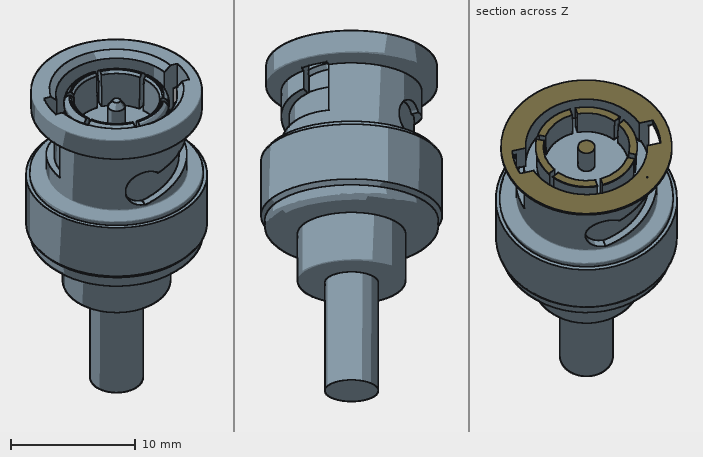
import cadquery as cq
import math

total_height = 28.75

cable_radius = 2.15
boss_radius = 4.37
boss_bottom = 9.52
boss_fillet = 0.23

collar_radius = 7.0
collar_bottom = 13.77
collar_chamfer = 0.52
collar_chamfer_fillet = 0.45
collar_top = 20.7
collar_top_fillet = 0.17

grip_radius = 7.3
grip_bottom = 15.05
grip_chamfer_height = 0.37
grip_top = 20.25

neck_radius = 5.65
neck_flare = 0.17

rim_radius = 6.9
rim_underside_inner = 26.35
rim_underside_outer = 26.75
rim_top_fillet = 0.2
rim_bottom_fillet = 0.25

bore_radius = 4.9
bore_floor = 24.67
bore_chamfer = 0.52

key_width = 2.35
keyway_radius = 5.98
ramp_floor_radius = 5.03
ramp_angle = 13.8
lock_hole_radius = 1.6
lock_hole_height = 22.63
ramp_axis_height = 22.2

collet_inner_radius = 3.4
collet_mouth_radius = 3.48
collet_outer_radius = 4.0
collet_bulge_radius = 4.23
collet_bulge_height = 27.17
collet_bulge_taper = 0.43
collet_land_outer = 3.82
collet_land_inner = 3.68
collet_top = 27.97
collet_chamfer_height = 0.23
collet_slits = 6
collet_slit_width = 0.4

pin_radius = 0.7
pin_tip_radius = 0.32
pin_top = 27.6
pin_shoulder = 27.02

tolerance = 0.003


def turned(points):
    """Solid of revolution about Z from a closed outline of (radius, height) points."""
    return cq.Workplane("XZ").polyline(points).close().revolve(360, (0, 0), (0, 1))


def round_edge(solid, radius, height, fillet):
    """Fillet the circular edge lying at the given radius and height."""

    def is_wanted(edge):
        if edge.geomType() != "CIRCLE":
            return False
        return abs(edge.radius() - radius) < tolerance and abs(edge.Center().z - height) < tolerance

    return solid.edges().filter(is_wanted).fillet(fillet)


def outer_body():
    """Cable, boss, grip, neck and rim turned as one solid."""
    body = turned([
        (0, 0),
        (cable_radius, 0),
        (cable_radius, boss_bottom),
        (boss_radius, boss_bottom),
        (boss_radius, collar_bottom),
        (collar_radius - collar_chamfer, collar_bottom),
        (collar_radius, collar_bottom + collar_chamfer),
        (collar_radius, grip_bottom),
        (grip_radius, grip_bottom + grip_chamfer_height),
        (grip_radius, grip_top),
        (collar_radius, grip_top),
        (collar_radius, collar_top),
        (neck_radius, collar_top),
        (neck_radius, rim_underside_inner),
        (rim_radius, rim_underside_outer),
        (rim_radius, total_height),
        (0, total_height),
    ])
    body = round_edge(body, boss_radius, boss_bottom, boss_fillet)
    body = round_edge(body, collar_radius, collar_bottom + collar_chamfer, collar_chamfer_fillet)
    body = round_edge(body, collar_radius - collar_chamfer, collar_bottom, collar_chamfer_fillet)
    body = round_edge(body, collar_radius, collar_top, collar_top_fillet)
    body = round_edge(body, neck_radius, collar_top, neck_flare)
    body = round_edge(body, rim_radius, rim_underside_outer, rim_bottom_fillet)
    return round_edge(body, rim_radius, total_height, rim_top_fillet)


def bore():
    """Open mouth of the connector with a chamfered lip."""
    return turned([
        (0, bore_floor),
        (bore_radius, bore_floor),
        (bore_radius, total_height - bore_chamfer),
        (bore_radius + bore_chamfer, total_height),
        (0, total_height),
    ])


def ring(outer, inner, bottom, top):
    """Tube about Z between two heights."""
    return cq.Workplane("XY").workplane(offset=bottom).circle(outer).circle(inner).extrude(top - bottom)


def bayonet_cut():
    """Keyway on the -Y side, its ramp towards -X and the lock hole that ends the ramp."""
    slope = math.tan(math.radians(ramp_angle))
    half_ramp_height = key_width / 2 / math.cos(math.radians(ramp_angle))
    reach = rim_radius
    axis_height_at_reach = ramp_axis_height + slope * reach

    lower_inner = (0, ramp_axis_height - half_ramp_height)
    lower_outer = (-reach, axis_height_at_reach - half_ramp_height)
    upper_outer = (-reach, axis_height_at_reach + half_ramp_height)
    upper_inner = (0, ramp_axis_height + half_ramp_height)

    ramp = (
        cq.Workplane("YZ")
        .workplane(offset=-reach)
        .polyline([lower_inner, lower_outer, upper_outer, upper_inner])
        .close()
        .extrude(reach + key_width / 2)
    )
    lock_hole = (
        cq.Workplane("YZ")
        .workplane(offset=-reach)
        .center(0, lock_hole_height)
        .circle(lock_hole_radius)
        .extrude(reach)
    )
    keyway = (
        cq.Workplane("YZ")
        .workplane(offset=-key_width / 2)
        .polyline([lower_inner, lower_outer, (-reach, total_height), (0, total_height)])
        .close()
        .extrude(key_width)
    )
    beside_liner = ring(keyway_radius, ramp_floor_radius, collar_top, total_height)
    above_liner = ring(keyway_radius, collet_bulge_radius, bore_floor, total_height)
    ramp_pocket = ramp.union(lock_hole).intersect(beside_liner)
    return ramp_pocket.union(keyway.intersect(beside_liner.union(above_liner)))


def collet():
    """Ring of spring fingers with a rounded outer lip."""
    lip_width = collet_bulge_radius - collet_land_outer
    lip_height = collet_top - collet_bulge_height
    lip_middle = (
        collet_land_outer + lip_width * math.sqrt(0.5),
        collet_bulge_height + lip_height * math.sqrt(0.5),
    )
    profile = (
        cq.Workplane("XZ")
        .moveTo(collet_inner_radius, bore_floor)
        .lineTo(collet_outer_radius, bore_floor)
        .lineTo(collet_outer_radius, collet_bulge_height - collet_bulge_taper)
        .lineTo(collet_bulge_radius, collet_bulge_height)
        .threePointArc(lip_middle, (collet_land_outer, collet_top))
        .lineTo(collet_land_inner, collet_top)
        .lineTo(collet_mouth_radius, collet_top - collet_chamfer_height)
        .close()
    )
    fingers = profile.revolve(360, (0, 0), (0, 1))
    slit = (
        cq.Workplane("XY")
        .workplane(offset=bore_floor)
        .rect(2 * bore_radius, collet_slit_width)
        .extrude(total_height - bore_floor)
    )
    for index in range(collet_slits // 2):
        fingers = fingers.cut(slit.rotate((0, 0, 0), (0, 0, 1), index * 360 / collet_slits))
    return fingers


def pin():
    """Centre contact with a conical tip."""
    return turned([
        (0, bore_floor),
        (pin_radius, bore_floor),
        (pin_radius, pin_shoulder),
        (pin_tip_radius, pin_top),
        (0, pin_top),
    ])


body = outer_body().cut(bore())
for angle in (0, 180):
    body = body.cut(bayonet_cut().rotate((0, 0, 0), (0, 0, 1), angle))

result = body.union(collet()).union(pin())